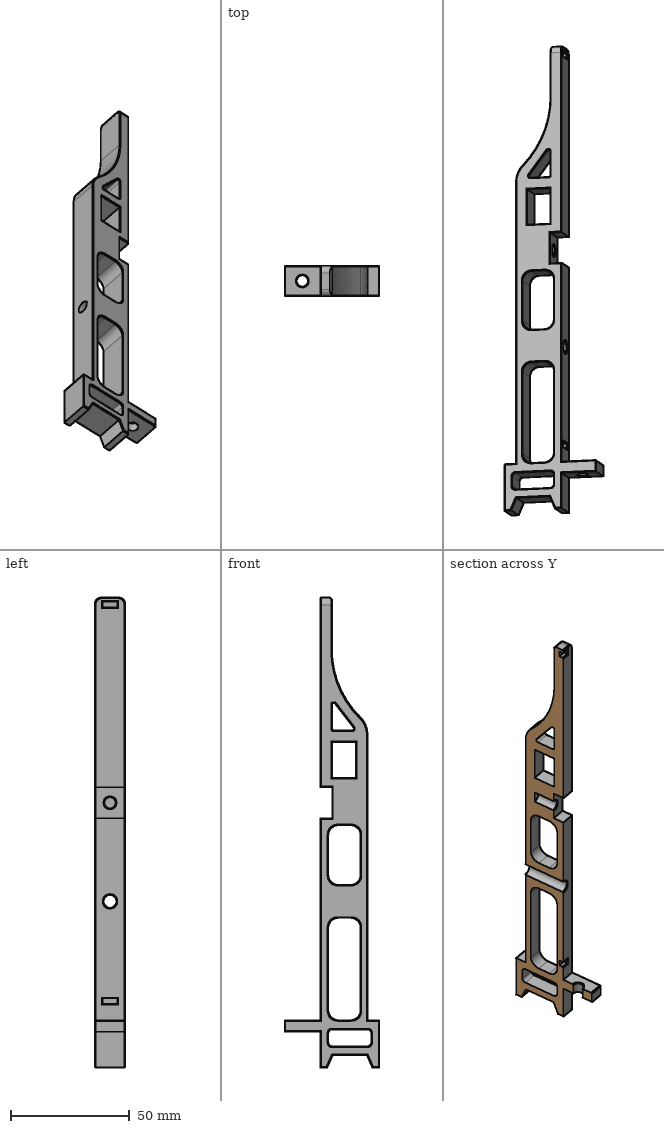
import cadquery as cq
import math

depth = 13.0
height = 198.0
bar_width = 20.0
foot_width = 25.0
shoulder_z = 20.0
tab_length = 15.0
tab_thickness = 5.0
edge_chamfer = 0.4
flare_angle = 45.0
overshoot = 1.0

strip_width = 5.0
curve_top_z = 176.0
hollow_radius = 40.0
crest_radius = 10.0
strip_end_radius = 3.0
strip_tip_bevel = 1.0

back_wall = 3.5
front_wall = 3.0
upper_wall = 5.0
triangle_bottom_z = 142.0
triangle_height = 13.0
triangle_corner_radius = 0.75
window_bottom_z = 122.0
window_top_z = 137.0
slot_spans = ((20.0, 63.0), (77.0, 102.0))
slot_corner_radius = 4.0
foot_slot_bottom_z = 9.0
foot_slot_top_z = 16.0
foot_slot_corner_radius = 1.5

recess_height = 5.2
recess_inset_bottom = 3.0
recess_inset_top = 5.3

notch_bottom_z = 105.0
notch_height = 13.0
notch_depth = 5.0
screw_diameter = 4.7
screw_hole_depth = 10.0
cross_hole_diameter = 5.4
cross_hole_z = (slot_spans[0][1] + slot_spans[1][0]) / 2
pocket_length = 6.2
pocket_height = 2.2
pocket_depth = 2.0
pocket_heights_z = (28.0, 195.0)


def extrude_through(sketch):
    """Extrude an XZ outline over the full depth, centred on Y = 0."""
    return sketch.extrude(depth / 2, both=True)


def box_between(x_min, x_max, z_min, z_max):
    """Block over the full depth between the given X and Z limits."""
    outline = cq.Workplane("XZ").moveTo(x_min, z_min).lineTo(x_max, z_min)
    outline = outline.lineTo(x_max, z_max).lineTo(x_min, z_max).close()
    return extrude_through(outline)


def bevelled_cutter(mouth_plane, shape, length):
    """Cutter going along the plane normal, flared by the edge bevel where it starts.

    The function shape(plane, growth) draws the outline on a plane, enlarged by growth on every side.
    """
    straight = shape(mouth_plane, 0).extrude(length)
    flare = shape(mouth_plane, edge_chamfer).extrude(edge_chamfer, taper=flare_angle)
    return straight.union(flare)


def round_cutter(mouth_plane, diameter, length):
    """Round hole cutter with a bevelled mouth."""
    return bevelled_cutter(mouth_plane, lambda plane, growth: plane.circle(diameter / 2 + growth), length)


def make_body():
    """Foot, tab, bar and strip as one outline with the curved step."""
    hollow_x = strip_width + hollow_radius
    crest_x = bar_width - crest_radius
    sweep = math.acos((hollow_x - crest_x) / (hollow_radius + crest_radius))
    crest_z = curve_top_z - (hollow_radius + crest_radius) * math.sin(sweep)

    def hollow_point(angle):
        return (hollow_x - hollow_radius * math.cos(angle), curve_top_z - hollow_radius * math.sin(angle))

    def crest_point(angle):
        return (crest_x + crest_radius * math.cos(angle), crest_z + crest_radius * math.sin(angle))

    tab_bottom_z = shoulder_z - tab_thickness
    outline = (
        cq.Workplane("XZ")
        .moveTo(0, 0)
        .lineTo(recess_inset_bottom, 0)
        .lineTo(recess_inset_top, recess_height)
        .lineTo(foot_width - recess_inset_top, recess_height)
        .lineTo(foot_width - recess_inset_bottom, 0)
        .lineTo(foot_width, 0)
        .lineTo(foot_width, shoulder_z)
        .lineTo(bar_width, shoulder_z)
        .lineTo(bar_width, crest_z)
        .threePointArc(crest_point(sweep / 2), crest_point(sweep))
        .threePointArc(hollow_point(sweep / 2), hollow_point(0))
        .lineTo(strip_width, height)
        .lineTo(0, height)
        .lineTo(0, shoulder_z)
        .lineTo(-tab_length, shoulder_z)
        .lineTo(-tab_length, tab_bottom_z)
        .lineTo(0, tab_bottom_z)
        .close()
    )
    return extrude_through(outline)


def round_strip_end(body):
    """Round the two top corners of the strip across Y."""
    return body.faces(">Z").edges("|X").fillet(strip_end_radius)


def bevel_edges(body):
    """Bevel the rims of both Y faces and the outer top edges of the tab and foot."""
    rounding_start_z = height - strip_end_radius
    rims = body.faces("<Y or >Y").edges()
    body = rims.filter(lambda edge: edge.Center().z < rounding_start_z - edge_chamfer).chamfer(edge_chamfer)
    for end_selector in ("<X", ">X"):
        body = body.faces(end_selector).edges(">Z").chamfer(edge_chamfer)
    return body


def bevel_strip_tip(body):
    """Cut the front top edge of the strip along a straight slope."""
    outline = cq.Workplane("XZ").moveTo(strip_width - strip_tip_bevel, height)
    outline = outline.lineTo(strip_width, height).lineTo(strip_width, height - strip_tip_bevel).close()
    return body.cut(extrude_through(outline))


def make_triangle():
    """Triangular opening below the curved step."""
    right_x = bar_width - upper_wall
    outline = cq.Workplane("XZ").moveTo(upper_wall, triangle_bottom_z).lineTo(right_x, triangle_bottom_z)
    outline = outline.lineTo(upper_wall, triangle_bottom_z + triangle_height).close()
    return extrude_through(outline).edges("|Y").fillet(triangle_corner_radius)


def cut_openings(body):
    """Cut every opening that passes through along Y."""
    body = body.cut(make_triangle())
    body = body.cut(box_between(upper_wall, bar_width - upper_wall, window_bottom_z, window_top_z))
    for bottom_z, top_z in slot_spans:
        slot = box_between(back_wall, bar_width - front_wall, bottom_z, top_z)
        body = body.cut(slot.edges("|Y").fillet(slot_corner_radius))
    foot_slot = box_between(back_wall, foot_width - back_wall, foot_slot_bottom_z, foot_slot_top_z)
    body = body.cut(foot_slot.edges("|Y").fillet(foot_slot_corner_radius))
    return body.cut(box_between(-overshoot, notch_depth, notch_bottom_z, notch_bottom_z + notch_height))


def cut_holes(body):
    """Cut the blind notch hole, the cross hole and the tab hole, each with a bevelled mouth."""
    notch_mid_z = notch_bottom_z + notch_height / 2
    notch_plane = cq.Workplane("YZ", origin=(notch_depth, 0, notch_mid_z))
    cross_plane = cq.Workplane("YZ", origin=(0, 0, cross_hole_z))
    tab_plane = cq.Workplane("XY", origin=(-tab_length / 2, 0, shoulder_z)).transformed(rotate=(180, 0, 0))
    body = body.cut(round_cutter(notch_plane, screw_diameter, screw_hole_depth))
    body = body.cut(round_cutter(cross_plane, cross_hole_diameter, bar_width))
    return body.cut(round_cutter(tab_plane, screw_diameter, tab_thickness))


def pocket_outline(plane, growth):
    """Rectangle of a pocket, enlarged by growth on every side."""
    return plane.rect(pocket_length + 2 * growth, pocket_height + 2 * growth)


def cut_pockets(body):
    """Cut the shallow rectangular pockets in the back face, each with a bevelled mouth."""
    for z in pocket_heights_z:
        plane = cq.Workplane("YZ", origin=(0, 0, z))
        body = body.cut(bevelled_cutter(plane, pocket_outline, pocket_depth))
    return body


body = round_strip_end(make_body())
body = bevel_strip_tip(bevel_edges(cut_openings(body)))
result = cut_pockets(cut_holes(body))